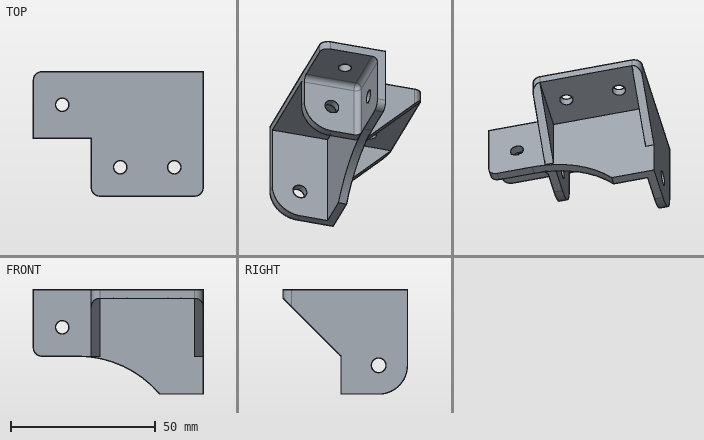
import cadquery as cq
import math

LENGTH = 58.7
DEPTH = 43.0
HEIGHT = 36.1
THICKNESS = 3.0
SHELF = 20.0
CORNER_RADIUS = 3.0
LUG_RADIUS = 10.0
INNER_FILLET = 2.0
SCREW_DIAMETER = 4.5
LUG_HOLE_DIAMETER = 5.0
REAR_SCREW_OFFSET = 11.45
ARCH_RADIUS = 37.0
ARCH_END_X = 43.7

wall_front = SHELF - DEPTH
wall_back = wall_front + THICKNESS
short_bottom = wall_front
screw_inset = SHELF / 2
right_lug_x = LENGTH - THICKNESS


def box(x_min, x_max, y_min, y_max, z_min, z_max):
    """Block between the given limits."""
    size = (x_max - x_min, y_max - y_min, z_max - z_min)
    return cq.Workplane("XY").box(*size, centered=False).translate((x_min, y_min, z_min))


def top_plate():
    """L-shaped blank: the back strip plus the shelf reaching forward."""
    strip = box(0, LENGTH, wall_front, 0, -THICKNESS, 0)
    shelf = box(SHELF, LENGTH, -DEPTH, 0, -THICKNESS, 0)
    return strip.union(shelf)


def wall():
    """Upright wall whose lower edge drops along an arch to the full height."""
    drop = HEIGHT + short_bottom
    arch_run = math.sqrt(ARCH_RADIUS**2 - (ARCH_RADIUS - drop) ** 2)
    arch_start_x = ARCH_END_X - arch_run
    half_angle = math.asin(arch_run / ARCH_RADIUS) / 2
    arch_middle = (
        arch_start_x + ARCH_RADIUS * math.sin(half_angle),
        short_bottom - ARCH_RADIUS * (1 - math.cos(half_angle)),
    )
    return (
        cq.Workplane("XZ", origin=(0, wall_back, 0))
        .lineTo(LENGTH, 0)
        .lineTo(LENGTH, -HEIGHT)
        .lineTo(ARCH_END_X, -HEIGHT)
        .threePointArc(arch_middle, (arch_start_x, short_bottom))
        .lineTo(0, short_bottom)
        .close()
        .extrude(THICKNESS)
        .edges("|Y and <X")
        .edges("<Z")
        .fillet(CORNER_RADIUS)
    )


def lug(x_min, bottom):
    """Cross plate behind the wall with a rounded lower back corner."""
    blank = box(x_min, x_min + THICKNESS, wall_front, 0, bottom, 0)
    return blank.edges("|X and >Y and <Z").fillet(LUG_RADIUS)


def lug_hole(x_min, bottom):
    """Cutter for the hole concentric with the rounded corner of a lug."""
    return (
        cq.Workplane("YZ", origin=(x_min, -LUG_RADIUS, bottom + LUG_RADIUS))
        .circle(LUG_HOLE_DIAMETER / 2)
        .extrude(THICKNESS)
    )


def gusset(x_min):
    """Sloped rib between the wall and the front edge of the shelf."""
    return (
        cq.Workplane("YZ", origin=(x_min, 0, 0))
        .moveTo(wall_front, 0)
        .lineTo(-DEPTH, 0)
        .lineTo(-DEPTH, -THICKNESS)
        .lineTo(wall_front, short_bottom)
        .close()
        .extrude(THICKNESS)
    )


def edge_near(body, direction, point):
    """Straight edge along one axis whose middle is nearest to the point."""
    return body.edges("|" + direction).edges(cq.selectors.NearestToPointSelector(point))


def fillet_left_pocket(body):
    """Fillet the three inside edges where top plate, wall and left lug join."""
    edges = edge_near(body, "X", (SHELF / 2, wall_back, -THICKNESS))
    edges = edges.add(edge_near(body, "Y", (SHELF, wall_back / 2, -THICKNESS)))
    edges = edges.add(edge_near(body, "Z", (SHELF, wall_back, short_bottom / 2)))
    return edges.fillet(INNER_FILLET)


def corner_trim(x, y, x_inward, y_inward):
    """Cutter for a full-height rounded corner; the inward signs point into the part."""
    center_x = x + x_inward * CORNER_RADIUS
    center_y = y + y_inward * CORNER_RADIUS
    square = box(min(x, center_x), max(x, center_x), min(y, center_y), max(y, center_y), -HEIGHT, 0)
    core = cq.Workplane("XY").center(center_x, center_y).circle(CORNER_RADIUS).extrude(-HEIGHT)
    return square.cut(core)


lugs = ((SHELF, short_bottom), (right_lug_x, -HEIGHT))
result = top_plate().union(wall())
for lug_x, lug_bottom in lugs:
    result = result.union(lug(lug_x, lug_bottom))
for gusset_x in (SHELF, right_lug_x):
    result = result.union(gusset(gusset_x))
result = fillet_left_pocket(result)

result = result.cut(corner_trim(0, 0, 1, -1))
result = result.cut(corner_trim(SHELF, -DEPTH, 1, 1))
result = result.cut(corner_trim(LENGTH, -DEPTH, -1, 1))

plate_screws = (
    (screw_inset, -REAR_SCREW_OFFSET),
    (SHELF + screw_inset, screw_inset - DEPTH),
    (LENGTH - screw_inset, screw_inset - DEPTH),
)
result = result.cut(
    cq.Workplane("XY").pushPoints(plate_screws).circle(SCREW_DIAMETER / 2).extrude(-THICKNESS)
)

result = result.cut(
    cq.Workplane("XZ", origin=(screw_inset, wall_back, short_bottom + screw_inset))
    .circle(SCREW_DIAMETER / 2)
    .extrude(THICKNESS)
)

for lug_x, lug_bottom in lugs:
    result = result.cut(lug_hole(lug_x, lug_bottom))